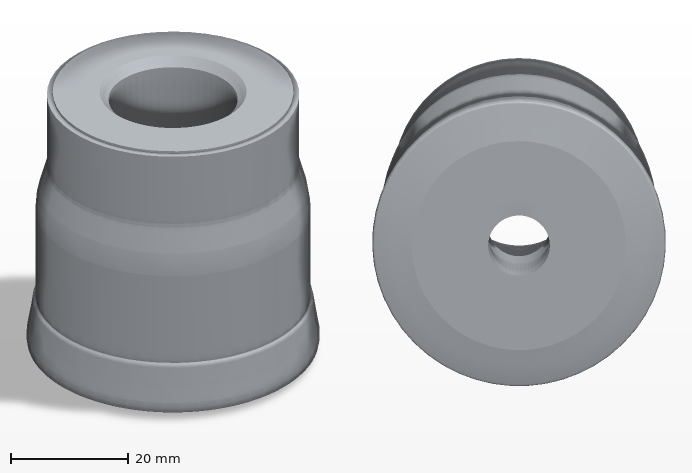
import cadquery as cq
import math

total_height = 50
joint_height = 10.2

boss_diameter = 41
boss_height = 0.5
neck_diameter = 43
barrel_diameter = 46.85
shoulder_top_height = 36
shoulder_angle = 16
shoulder_upper_fillet = 2.5
shoulder_lower_fillet = 15
bore_diameter = 22
bore_floor_height = 15
bore_floor_fillet = 0.5
bore_chamfer = 1.5

through_diameter = 10.5

foot_diameter = 50
foot_bottom_diameter = 36.5
foot_widest_height = 2.5
foot_bulge_radius = 4
foot_bulge_angle = 10
foot_corner_height = 1.2
foot_corner_fillet = 0.4
rim_radius = 1
rim_start_angle = 60
rim_end_angle = 10

neck_radius = neck_diameter / 2
barrel_radius = barrel_diameter / 2
shoulder_drop = (barrel_radius - neck_radius) / math.tan(math.radians(shoulder_angle))
shoulder_bottom_height = shoulder_top_height - shoulder_drop


def circle_edge(radius, height):
    """Selector for the rim circle at a given radius and height."""
    margin = 0.05
    reach = radius + margin
    return cq.selectors.BoxSelector(
        (-reach, -reach, height - margin),
        (reach, reach, height + margin),
        boundingbox=True,
    )


def arc_point(center, radius, angle):
    """Point on an arc in the radius-height plane, angle in degrees."""
    turn = math.radians(angle)
    return (center[0] + radius * math.cos(turn), center[1] + radius * math.sin(turn))


def revolve_profile(profile):
    """Turn a closed radius-height outline about the Z axis."""
    return profile.close().revolve(360, (0, 0, 0), (0, 1, 0))


def make_sleeve():
    step_height = total_height - boss_height
    outline = (
        cq.Workplane("XZ")
        .moveTo(0, joint_height)
        .lineTo(barrel_radius, joint_height)
        .lineTo(barrel_radius, shoulder_bottom_height)
        .lineTo(neck_radius, shoulder_top_height)
        .lineTo(neck_radius, step_height)
        .lineTo(boss_diameter / 2, step_height)
        .lineTo(boss_diameter / 2, total_height)
        .lineTo(0, total_height)
    )
    sleeve = revolve_profile(outline)
    sleeve = sleeve.edges(circle_edge(neck_radius, shoulder_top_height)).fillet(shoulder_upper_fillet)
    sleeve = sleeve.edges(circle_edge(barrel_radius, shoulder_bottom_height)).fillet(shoulder_lower_fillet)
    return sleeve.cut(make_bore()).cut(make_through_hole())


def make_bore():
    """Bore volume with a rounded floor and a countersunk mouth."""
    bore_radius = bore_diameter / 2
    bore = (
        cq.Workplane("XY", origin=(0, 0, bore_floor_height))
        .circle(bore_radius)
        .extrude(total_height - bore_floor_height)
        .faces("<Z").edges().fillet(bore_floor_fillet)
    )
    mouth = revolve_profile(
        cq.Workplane("XZ")
        .moveTo(0, total_height - bore_chamfer)
        .lineTo(bore_radius, total_height - bore_chamfer)
        .lineTo(bore_radius + bore_chamfer, total_height)
        .lineTo(0, total_height)
    )
    return bore.union(mouth)


def make_through_hole():
    return cq.Workplane("XY").circle(through_diameter / 2).extrude(total_height)


def make_foot():
    rim_start = math.radians(rim_start_angle)
    rim_center = (
        barrel_radius - rim_radius * math.cos(rim_start),
        joint_height - rim_radius * math.sin(rim_start),
    )
    rim_middle = arc_point(rim_center, rim_radius, (rim_start_angle + rim_end_angle) / 2)
    rim_end = arc_point(rim_center, rim_radius, rim_end_angle)

    bulge_center = (foot_diameter / 2 - foot_bulge_radius, foot_widest_height)
    bulge_start = arc_point(bulge_center, foot_bulge_radius, foot_bulge_angle)
    bulge_middle = arc_point(bulge_center, foot_bulge_radius, 0)
    corner_drop = foot_widest_height - foot_corner_height
    corner_angle = -math.degrees(math.asin(corner_drop / foot_bulge_radius))
    corner = arc_point(bulge_center, foot_bulge_radius, corner_angle)

    outline = (
        cq.Workplane("XZ")
        .moveTo(0, joint_height)
        .lineTo(barrel_radius, joint_height)
        .threePointArc(rim_middle, rim_end)
        .lineTo(*bulge_start)
        .threePointArc(bulge_middle, corner)
        .lineTo(foot_bottom_diameter / 2, 0)
        .lineTo(0, 0)
    )
    foot = revolve_profile(outline)
    foot = foot.edges(circle_edge(corner[0], foot_corner_height)).fillet(foot_corner_fillet)
    return foot.cut(make_through_hole())


sleeve = make_sleeve()
foot = make_foot()

result = cq.Compound.makeCompound([sleeve.val(), foot.val()])